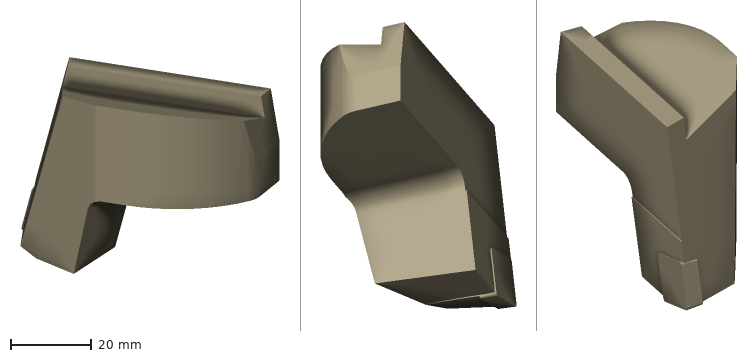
import cadquery as cq
import math


HEAD_RIGHT = 69.0
HEAD_TOP = 49.7
HEAD_BOTTOM = 25.5
HEAD_BACK_Y = 0.0
HEAD_RADIUS = 31.45
ARC_CENTER_X = 41.0
BLEND_RADIUS = 8.0
FLAT_LEFT_X = 32.65
SIDE_ANGLE = 30.0
RELIEF_TOP_X = 66.6
RELIEF_ANGLE = 10.0

RIB_FRONT_Y = -6.0
STEP_Z = 44.1
STEP_ANGLE = 15.0

LEAN_ANGLE = 15.0
LEFT_TOP_X = 11.7
LEFT_FACE_ANGLE = 20.5
SHANK_BOTTOM = 0.8
SHANK_RIGHT_X = 24.1
UNDERCUT_RADIUS = 5.0
CLEARANCE_ANGLE = 5.0
PAD_BACK_Y = 0.35
PAD_TOP = 20.9
TIP_FACE_Z = 3.7
TIP_END_BACK_X = 12.0
TIP_END_MIDDLE_X = 11.95
TIP_END_FRONT_X = 11.25
TIP_END_MIDDLE_Y = -11.05
TIP_END_FRONT_Y = -19.0

INSERT_SIZE = 12.7
INSERT_THICKNESS = 4.75
INSERT_CORNER = 0.8
INSERT_BACK_Y = 0.75

REACH = 103.5
ALLOWANCE = 6.9
POCKET_OPENING = 4.15

LEAN = math.tan(math.radians(LEAN_ANGLE))
CLEARANCE = math.tan(math.radians(CLEARANCE_ANGLE))


def half_space(point, normal):
    """Large block filling the side of a plane toward which its normal points."""
    plane = cq.Plane(origin=point, normal=normal)
    return cq.Workplane(plane).rect(2 * REACH, 2 * REACH).extrude(REACH)


def side_profile():
    """Head and shank outline extruded along Y, with stock left past the left face and shank end."""
    low_z = SHANK_BOTTOM - ALLOWANCE
    right_low_x = SHANK_RIGHT_X - LEAN * (SHANK_BOTTOM - low_z)
    undercut_x = SHANK_RIGHT_X + LEAN * (HEAD_BOTTOM - SHANK_BOTTOM)
    relief_z = HEAD_TOP - (HEAD_RIGHT - RELIEF_TOP_X) / math.tan(math.radians(RELIEF_ANGLE))
    profile = (
        cq.Workplane("XZ", origin=(0, PAD_BACK_Y, 0))
        .moveTo(-ALLOWANCE, low_z)
        .lineTo(-ALLOWANCE, HEAD_TOP + ALLOWANCE)
        .lineTo(RELIEF_TOP_X, HEAD_TOP + ALLOWANCE)
        .lineTo(RELIEF_TOP_X, HEAD_TOP)
        .lineTo(HEAD_RIGHT, relief_z)
        .lineTo(HEAD_RIGHT, HEAD_BOTTOM)
        .lineTo(undercut_x, HEAD_BOTTOM)
        .lineTo(right_low_x, low_z)
        .close()
        .extrude(REACH)
    )
    undercut_edge = cq.selectors.NearestToPointSelector(
        (undercut_x, PAD_BACK_Y - REACH / 2, HEAD_BOTTOM)
    )
    return profile.edges(undercut_edge).fillet(UNDERCUT_RADIUS)


def plan_outline():
    """Half-round plan of the holder as a tall prism."""
    blend_x = HEAD_RIGHT - BLEND_RADIUS
    center_gap = HEAD_RADIUS - BLEND_RADIUS
    blend_y = -math.sqrt(center_gap**2 - (blend_x - ARC_CENTER_X) ** 2)
    blend_angle = math.atan2(blend_y, blend_x - ARC_CENTER_X)
    arc_middle_angle = (blend_angle - math.pi / 2) / 2

    def front_arc(angle):
        return ARC_CENTER_X + HEAD_RADIUS * math.cos(angle), HEAD_RADIUS * math.sin(angle)

    blend_middle = (
        blend_x + BLEND_RADIUS * math.cos(blend_angle / 2),
        blend_y + BLEND_RADIUS * math.sin(blend_angle / 2),
    )
    side_left_x = -ALLOWANCE
    side_left_y = -HEAD_RADIUS + (FLAT_LEFT_X - side_left_x) * math.tan(math.radians(SIDE_ANGLE))
    return (
        cq.Workplane("XY", origin=(0, 0, -REACH / 2))
        .moveTo(side_left_x, PAD_BACK_Y)
        .lineTo(side_left_x, side_left_y)
        .lineTo(FLAT_LEFT_X, -HEAD_RADIUS)
        .lineTo(ARC_CENTER_X, -HEAD_RADIUS)
        .threePointArc(front_arc(arc_middle_angle), front_arc(blend_angle))
        .threePointArc(blend_middle, (HEAD_RIGHT, blend_y))
        .lineTo(HEAD_RIGHT, PAD_BACK_Y)
        .close()
        .extrude(2 * REACH)
    )


def top_cut():
    """Space above the rib and above the sloping step in front of it."""
    rise = math.tan(math.radians(STEP_ANGLE)) * (REACH + RIB_FRONT_Y)
    return (
        cq.Workplane("YZ", origin=(-REACH / 2, 0, 0))
        .moveTo(REACH, HEAD_TOP)
        .lineTo(RIB_FRONT_Y, HEAD_TOP)
        .lineTo(RIB_FRONT_Y, STEP_Z)
        .lineTo(-REACH, STEP_Z + rise)
        .lineTo(-REACH, 3 * REACH)
        .lineTo(REACH, 3 * REACH)
        .close()
        .extrude(2 * REACH)
    )


def left_cut():
    """Space left of the leaning, receding left face."""
    recede = math.tan(math.radians(LEFT_FACE_ANGLE))
    return half_space((LEFT_TOP_X, 0, HEAD_TOP), (-1, -recede, LEAN))


def bottom_cut():
    """Tip face beside the insert, and the flatter shank end to the right of it."""
    tip_clearance = CLEARANCE / math.cos(math.radians(LEAN_ANGLE))
    below_tip = half_space((0, 0, TIP_FACE_Z), (-LEAN, -tip_clearance, -1))
    below_end = half_space((0, 0, SHANK_BOTTOM), (0, -CLEARANCE, -1))
    tip_region = (
        cq.Workplane("XY", origin=(0, 0, -REACH))
        .moveTo(-REACH, 0)
        .lineTo(-REACH, -REACH)
        .lineTo(TIP_END_FRONT_X, -REACH)
        .lineTo(TIP_END_FRONT_X, TIP_END_FRONT_Y)
        .threePointArc((TIP_END_MIDDLE_X, TIP_END_MIDDLE_Y), (TIP_END_BACK_X, 0))
        .lineTo(TIP_END_BACK_X, REACH)
        .lineTo(-REACH, REACH)
        .close()
        .extrude(2 * REACH)
    )
    return below_tip.intersect(tip_region), below_end.cut(tip_region)


def insert_shape(opening=0.0):
    """Tapered square with rounded corners; `opening` widens it past the two free edges."""
    angle = math.radians(LEAN_ANGLE)
    rounding = INSERT_CORNER * (math.cos(angle) + math.sin(angle) - 1)
    corner_x = -rounding
    corner_z = INSERT_SIZE * math.sin(angle) - rounding
    plane = cq.Plane(
        origin=(corner_x, INSERT_BACK_Y, corner_z),
        xDir=(math.cos(angle), 0, -math.sin(angle)),
        normal=(0, -1, 0),
    )
    size = INSERT_SIZE + opening
    middle = (INSERT_SIZE - opening) / 2
    outline = cq.Sketch().rect(size, size).vertices().fillet(INSERT_CORNER)
    return (
        cq.Workplane(plane)
        .center(middle, middle)
        .placeSketch(outline)
        .extrude(INSERT_THICKNESS, taper=CLEARANCE_ANGLE)
    )


def make_holder():
    body = side_profile().intersect(plan_outline())
    body = body.cut(top_cut()).cut(left_cut())
    for cutter in bottom_cut():
        body = body.cut(cutter)
    above_pad = cq.Workplane("XY").box(
        2 * REACH, REACH, REACH, centered=(True, False, False)
    ).translate((0, HEAD_BACK_Y, PAD_TOP))
    return body.cut(above_pad).cut(insert_shape(POCKET_OPENING))


holder = make_holder()
insert = insert_shape()

result = cq.Compound.makeCompound([holder.val(), insert.val()])